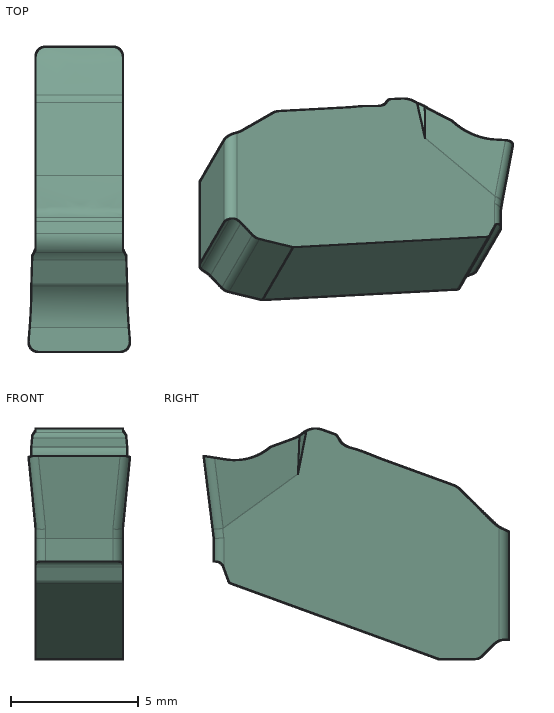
import cadquery as cq
import math

LENGTH = 12.0
BODY_WIDTH = 3.44
CORNER_RADIUS = 0.4
SLOPE = math.radians(20)
RISE = math.tan(SLOPE)

BACK_BOTTOM = 0.76
BACK_TOP = 5.01
BACK_LIP_ANGLE = math.radians(26)
BACK_LIP_END = (0.43, 5.225)
BEVEL_ANGLE = math.radians(45)
BEVEL_START = (0.6, 5.36)
BEVEL_CORNER_DEPTH = 2.03
BEVEL_CORNER_BLEND = 0.17
HEEL_LEDGE = 0.15
HEEL_BEND_END = (0.57, 0.60)
HEEL_BEVEL_END = (1.05, 0.125)
FLOOR_START = 1.35
FLOOR_END = 2.76

TIP_HEIGHT = 7.99
KINK_HEIGHT = 4.74
FRONT_RELIEF = math.radians(7)
FRONT_DEPTH = LENGTH - (TIP_HEIGHT - KINK_HEIGHT) * math.tan(FRONT_RELIEF)
STEP_HEIGHT = 3.83
STEP_ROOT_DEPTH = 11.30
STEP_ROOT_RADIUS = 0.3
STEP_WALL_ANGLE = math.radians(70)
TOE_SETBACK = 0.09

TOP_FACE_END = 5.06
CREST_RAMP = (6.00, 8.25)
CREST_FOOT = (6.55, 8.47)
CREST_STEP_ANGLE = math.radians(66)
CREST_STEP = (6.72, 8.725)
CREST_SHOULDER = (6.87, 8.855)
CREST_RADIUS = 0.76
CREST_PEAK = (7.60, 9.07)
CREST_ARC_END = 8.08
FALL_START = (8.39, 8.70)
FALL_DEPTH = 0.94
GROOVE_START = (9.40, 8.315)
GROOVE_MIDDLE = (10.06, 7.945)
GROOVE_END = (11.03, 7.84)

FOLD_BACK = (8.29, 7.28)
FOLD_FRONT = (11.25, 5.13)
FLARE_TILT = math.radians(6.4)
FLARE_HEEL_TOP = (7.95, 9.02)
FLARE_HEEL_TILT = math.radians(30)
BLOCK_HEIGHT = 12.0
REACH = 20.0


def side_workplane(width):
    """Workplane in (depth, height) on the +X side of a block of the given width."""
    plane = cq.Plane(origin=(width / 2, LENGTH / 2, 0), xDir=(0, -1, 0), normal=(-1, 0, 0))
    return cq.Workplane(plane)


def direction(angle):
    """Unit vector at an angle above the depth axis."""
    return (math.cos(angle), math.sin(angle))


def along(start, angle, distance):
    """Point at a distance from start, at an angle above the depth axis."""
    return (start[0] + distance * math.cos(angle), start[1] + distance * math.sin(angle))


def side_profile():
    """Outline of the part seen from the side, extruded wider than the part."""
    bevel_run = BEVEL_CORNER_DEPTH - BEVEL_START[0]
    bevel_corner = (BEVEL_CORNER_DEPTH, BEVEL_START[1] + bevel_run * math.tan(BEVEL_ANGLE))
    bevel_end = along(bevel_corner, BEVEL_ANGLE, -BEVEL_CORNER_BLEND)
    bevel_middle = (
        (BEVEL_START[0] + bevel_end[0]) / 2,
        (BEVEL_START[1] + bevel_end[1]) / 2,
    )
    top_start = along(bevel_corner, SLOPE, BEVEL_CORNER_BLEND)
    top_end = along(bevel_corner, SLOPE, (TOP_FACE_END - BEVEL_CORNER_DEPTH) / math.cos(SLOPE))

    crest_center = (CREST_PEAK[0], CREST_PEAK[1] - CREST_RADIUS)
    crest_start = along(crest_center, math.pi / 2 + SLOPE, CREST_RADIUS)
    crest_end_angle = math.acos((CREST_ARC_END - CREST_PEAK[0]) / CREST_RADIUS)
    crest_end = along(crest_center, crest_end_angle, CREST_RADIUS)
    fall_end = along(FALL_START, -SLOPE, FALL_DEPTH / math.cos(SLOPE))

    step_root = (STEP_ROOT_DEPTH, STEP_HEIGHT)
    floor_height_at_root = (STEP_ROOT_DEPTH - FLOOR_END) * RISE
    toe_offset = (STEP_HEIGHT - floor_height_at_root) / (math.tan(STEP_WALL_ANGLE) - RISE)
    toe = (STEP_ROOT_DEPTH - toe_offset, floor_height_at_root - toe_offset * RISE)
    root_setback = STEP_ROOT_RADIUS * math.tan(STEP_WALL_ANGLE / 2)
    root_start = along(step_root, 0, root_setback)
    root_end = along(step_root, STEP_WALL_ANGLE, -root_setback)
    toe_start = along(toe, STEP_WALL_ANGLE, TOE_SETBACK)
    toe_end = along(toe, SLOPE, -TOE_SETBACK)

    outline = (
        side_workplane(2 * BODY_WIDTH)
        .moveTo(0, BACK_BOTTOM)
        .lineTo(0, BACK_TOP)
        .spline(
            [BACK_LIP_END, BEVEL_START, bevel_middle, bevel_end],
            tangents=[direction(BACK_LIP_ANGLE), direction(BEVEL_ANGLE)],
            includeCurrent=True,
        )
        .tangentArcPoint(top_start, relative=False)
        .lineTo(*top_end)
        .spline(
            [CREST_RAMP, CREST_FOOT, CREST_STEP],
            tangents=[direction(SLOPE), direction(CREST_STEP_ANGLE)],
            includeCurrent=True,
        )
        .tangentArcPoint(CREST_SHOULDER, relative=False)
        .lineTo(*crest_start)
        .threePointArc(CREST_PEAK, crest_end)
        .tangentArcPoint(FALL_START, relative=False)
        .lineTo(*fall_end)
        .tangentArcPoint(GROOVE_START, relative=False)
        .threePointArc(GROOVE_MIDDLE, GROOVE_END)
        .lineTo(LENGTH, TIP_HEIGHT)
        .lineTo(FRONT_DEPTH, KINK_HEIGHT)
        .lineTo(FRONT_DEPTH, STEP_HEIGHT)
        .lineTo(*root_start)
        .tangentArcPoint(root_end, relative=False)
        .lineTo(*toe_start)
        .tangentArcPoint(toe_end, relative=False)
        .lineTo(FLOOR_END, 0)
        .lineTo(FLOOR_START, 0)
        .tangentArcPoint(HEEL_BEVEL_END, relative=False)
        .lineTo(*HEEL_BEND_END)
        .tangentArcPoint((HEEL_LEDGE, BACK_BOTTOM), relative=False)
        .close()
    )
    return outline.extrude(2 * BODY_WIDTH)


def upright(width):
    """Block of the given width with plain top and bottom and the relieved front face."""
    overhang = (BLOCK_HEIGHT - KINK_HEIGHT) * math.tan(FRONT_RELIEF)
    return (
        side_workplane(width)
        .polyline([
            (0, 0), (0, BLOCK_HEIGHT), (FRONT_DEPTH + overhang, BLOCK_HEIGHT),
            (FRONT_DEPTH, KINK_HEIGHT), (FRONT_DEPTH, 0),
        ])
        .close()
        .extrude(width)
    )


def flare_limit(start, end, tilt):
    """Half space at +X bounded by a plane through the line start-end on the body side.

    The plane leans outwards by tilt, on the side to the left of the start-end direction.
    """
    fold = cq.Vector(0, start[0] - end[0], end[1] - start[1]).normalized()
    left = cq.Vector(1, 0, 0).cross(fold).multiply(-1)
    normal = cq.Vector(math.cos(tilt), 0, 0) - left.multiply(math.sin(tilt))
    origin = (BODY_WIDTH / 2, LENGTH / 2 - start[0], start[1])
    plane = cq.Plane(origin=origin, xDir=fold, normal=normal)
    return cq.Workplane(plane).rect(2 * REACH, 2 * REACH).extrude(-REACH)


def flare():
    """Widened front corner on the +X side."""
    outer = flare_limit(FOLD_BACK, FOLD_FRONT, FLARE_TILT)
    heel = flare_limit(FLARE_HEEL_TOP, FOLD_BACK, FLARE_HEEL_TILT)
    core = cq.Workplane("XY").box(REACH, REACH, REACH, centered=(False, True, False))
    return upright(2 * BODY_WIDTH).intersect(core).intersect(outer).intersect(heel)


def envelope():
    """Body and both flares, with the upright corners rounded."""
    right_flare = flare()
    body = upright(BODY_WIDTH).union(right_flare).union(right_flare.mirror("YZ"))
    front_limit = LENGTH / 2 - FOLD_FRONT[0]
    front_zone = cq.selectors.BoxSelector(
        (-REACH, front_limit, -REACH), (REACH, -REACH, REACH)
    )
    front_corners = body.edges(front_zone).edges("not #Z").edges("not |X")
    rounded = body.newObject(front_corners.vals()).fillet(CORNER_RADIUS)
    return rounded.edges("|Z and >Y").fillet(CORNER_RADIUS)


result = envelope().intersect(side_profile())